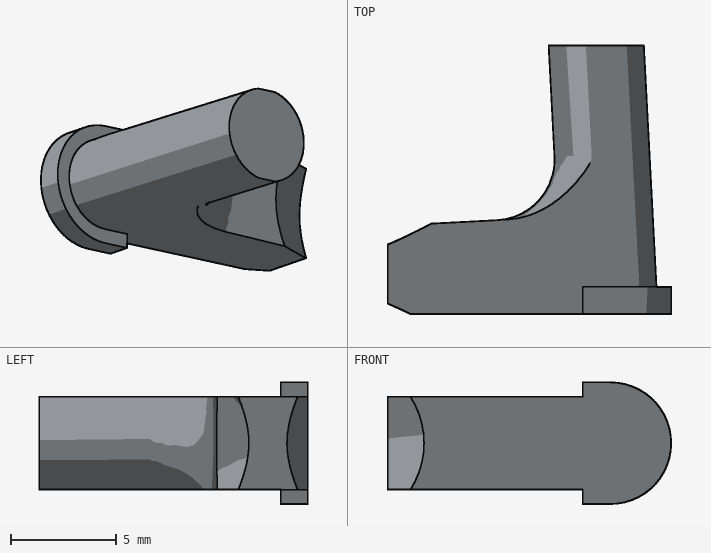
import cadquery as cq
import math

length = 13.5
height_y = 12.8
body_thickness = 4.43

flange_width = 5.8
flange_depth = 1.3
flange_start_x = 9.27
flange_radius = flange_width / 2
round_center_x = length - flange_radius

lean_angle = 3.0
post_radius = 2.27
arm_height = 4.75
fillet_radius = 2.86

cone_angle = 30.0
cone_axis_x = -2.36
lower_relief_y = 1.0
upper_relief_y = 2.81
relief_reach = 2.16

overlap = 1.35


def free_side_box(bottom_y, top_y):
    """Slab of body thickness on the arm's side of the post axis, between two Y levels."""
    slab_length = round_center_x + overlap
    slab = cq.Workplane("XY").box(slab_length, top_y - bottom_y, body_thickness)
    return slab.translate((-slab_length / 2, (bottom_y + top_y) / 2, 0))


def leaning_stock():
    """Post, arm and the fillet around the post, tilted together about the post base."""
    stock_length = height_y + 2 * overlap
    post = cq.Workplane("XZ", origin=(0, -overlap, 0)).circle(post_radius).extrude(-stock_length)
    arm = free_side_box(-overlap, arm_height)
    fillet_outer_radius = post_radius + fillet_radius
    fillet_top = arm_height + fillet_radius
    fillet_ring = (
        cq.Workplane("XY")
        .moveTo(0, arm_height - overlap)
        .lineTo(-fillet_outer_radius, arm_height - overlap)
        .lineTo(-fillet_outer_radius, arm_height)
        .radiusArc((-post_radius, fillet_top), -fillet_radius)
        .lineTo(0, fillet_top)
        .close()
        .revolve(360, (0, 0, 0), (0, 1, 0))
    )
    fillet = fillet_ring.intersect(free_side_box(0, height_y))
    stock = post.union(arm).union(fillet)
    return stock.rotate((0, 0, 0), (0, 0, 1), lean_angle).translate((round_center_x, 0, 0))


def round_ended_prism(start_x, width, depth):
    """Prism along Y with a flat end at start_x and a half-round end towards +X."""
    half = width / 2
    return (
        cq.Workplane("XZ")
        .moveTo(start_x, -half)
        .lineTo(round_center_x, -half)
        .threePointArc((round_center_x + half, 0), (round_center_x, half))
        .lineTo(start_x, half)
        .close()
        .extrude(-depth)
    )


def relief_cone(face_y, direction):
    """Cone about a Y axis, meeting the arm's end face at face_y and widening along direction."""
    slope = math.tan(math.radians(cone_angle))
    apex_y = face_y + direction * cone_axis_x * slope
    base_y = face_y + direction * relief_reach
    base_radius = abs(base_y - apex_y) / slope
    return (
        cq.Workplane("XY")
        .moveTo(cone_axis_x, apex_y)
        .lineTo(cone_axis_x + base_radius, base_y)
        .lineTo(cone_axis_x, base_y)
        .close()
        .revolve(360, (cone_axis_x, 0, 0), (cone_axis_x, 1, 0))
    )


body = leaning_stock().intersect(round_ended_prism(0, body_thickness, height_y))
flange = round_ended_prism(flange_start_x, flange_width, flange_depth)
lower_relief = relief_cone(lower_relief_y, -1)
upper_relief = relief_cone(upper_relief_y, 1)

result = body.union(flange).cut(lower_relief).cut(upper_relief)